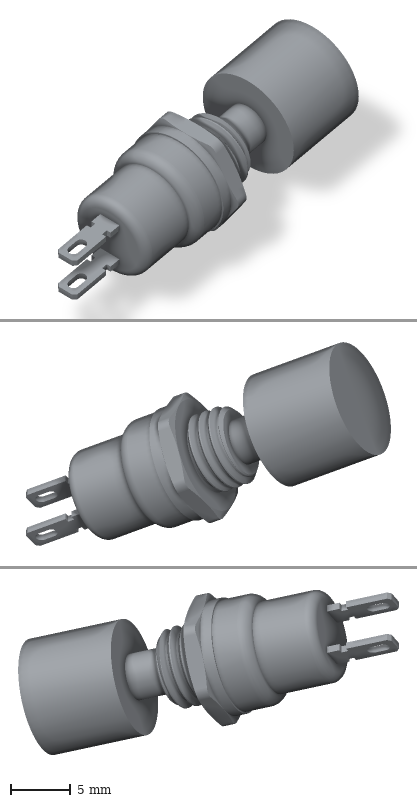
import cadquery as cq
import math


FLANGE_RADIUS = 5.0
FLANGE_THICKNESS = 1.0
CASE_RADIUS = 4.83
CASE_LENGTH = 3.4
CASE_ROUND = 1.1

BASE_RADIUS = 4.0
BASE_LENGTH = 5.5
BASE_ROUND = 0.8

THREAD_MAJOR_RADIUS = 3.5
THREAD_MINOR_RADIUS = 3.0
THREAD_PITCH = 1.0
THREAD_ROOT_WIDTH = 0.8
THREAD_CREST_WIDTH = 0.12
THREAD_OVERLAP = 0.15
THREAD_FACE_RADIUS = 2.9
THREAD_LENGTH = 3.5
THREAD_CREST_DEPTH = 1.27
THREAD_TURNS = 6

NUT_ACROSS_FLATS = 10.0
NUT_THICKNESS = 1.5
NUT_CORNER_RADIUS = 1.0
NUT_CHAMFER_ANGLE = 18.0
NUT_FACE_RADIUS = 4.95

PLUNGER_RADIUS = 2.0
PLUNGER_EXPOSED = 3.2
CAP_RADIUS = 5.0
CAP_LENGTH = 8.5

TERMINAL_LENGTH = 5.8
TERMINAL_WIDTH = 2.1
TERMINAL_THICKNESS = 0.6
TERMINAL_SPACING = 4.0
TERMINAL_TIP_CHAMFER = 0.3
NOTCH_OFFSET = 1.15
NOTCH_HEIGHT = 0.6
NOTCH_DEPTH = 0.42
EYELET_LENGTH = 2.0
EYELET_WIDTH = 1.0
EYELET_TIP_MARGIN = 0.55

FLANGE_BOTTOM = -FLANGE_THICKNESS
CASE_BOTTOM = FLANGE_BOTTOM - CASE_LENGTH
BASE_BOTTOM = CASE_BOTTOM - BASE_LENGTH
BUSHING_TOP = NUT_THICKNESS + THREAD_LENGTH
CAP_BOTTOM = BUSHING_TOP + PLUNGER_EXPOSED


def cylinder(radius, start, end):
    """Solid cylinder about the Y axis between two Y stations."""
    return cq.Workplane("XZ", origin=(0, start, 0)).circle(radius).extrude(start - end)


def revolve_about_y(outline):
    return outline.close().revolve(360, (0, 0, 0), (0, 1, 0))


def make_thread():
    """Right-handed external thread ridge between the nut and the chamfered bushing end."""
    root_radius = THREAD_MINOR_RADIUS - THREAD_OVERLAP
    flank_slope = (THREAD_ROOT_WIDTH - THREAD_CREST_WIDTH) / (THREAD_MAJOR_RADIUS - THREAD_MINOR_RADIUS)
    half_root = THREAD_ROOT_WIDTH / 2 + THREAD_OVERLAP * flank_slope / 2
    half_crest = THREAD_CREST_WIDTH / 2
    helix = cq.Wire.makeHelix(THREAD_PITCH, THREAD_TURNS * THREAD_PITCH, THREAD_MINOR_RADIUS)
    ridge = (
        cq.Workplane("XZ")
        .moveTo(root_radius, -half_root)
        .lineTo(THREAD_MAJOR_RADIUS, -half_crest)
        .lineTo(THREAD_MAJOR_RADIUS, half_crest)
        .lineTo(root_radius, half_root)
        .close()
        .sweep(cq.Workplane(obj=helix), isFrenet=True)
    )
    ridge = ridge.rotate((0, 0, 0), (0, 0, 1), -90).rotate((0, 0, 0), (1, 0, 0), -90)
    turns_below_crest = THREAD_TURNS - 2
    start = BUSHING_TOP - THREAD_CREST_DEPTH - turns_below_crest * THREAD_PITCH
    ridge = ridge.translate((0, start, 0))

    trim_radius = THREAD_MAJOR_RADIUS + THREAD_OVERLAP
    end_envelope = revolve_about_y(
        cq.Workplane("XY")
        .moveTo(0, NUT_THICKNESS)
        .lineTo(trim_radius, NUT_THICKNESS)
        .lineTo(trim_radius, BUSHING_TOP - (trim_radius - THREAD_FACE_RADIUS))
        .lineTo(THREAD_FACE_RADIUS, BUSHING_TOP)
        .lineTo(0, BUSHING_TOP)
    )
    return ridge.intersect(end_envelope)


def make_bushing(base, plunger):
    """Threaded bushing with its flange and the case that is rolled in around the base."""
    core = cylinder(THREAD_MINOR_RADIUS, 0, BUSHING_TOP)
    core = core.faces(">Y").chamfer(THREAD_MINOR_RADIUS - THREAD_FACE_RADIUS)
    flange = cylinder(FLANGE_RADIUS, FLANGE_BOTTOM, 0)
    case = cylinder(CASE_RADIUS, CASE_BOTTOM, FLANGE_BOTTOM).faces("<Y").edges().fillet(CASE_ROUND)
    return core.union(make_thread()).union(flange).union(case).cut(base).cut(plunger)


def make_base():
    """Cylindrical base that fills the case up to the flange."""
    return cylinder(BASE_RADIUS, BASE_BOTTOM, FLANGE_BOTTOM).faces("<Y").edges().fillet(BASE_ROUND)


def make_nut():
    """Hexagon nut with rounded corners, chamfered on both faces."""
    corner_radius = NUT_ACROSS_FLATS / 2 / math.cos(math.pi / 6)
    hexagon = (
        cq.Workplane("XZ")
        .polygon(6, 2 * corner_radius)
        .extrude(-NUT_THICKNESS)
        .edges("|Y")
        .fillet(NUT_CORNER_RADIUS)
    )
    chamfer_drop = (corner_radius - NUT_FACE_RADIUS) * math.tan(math.radians(NUT_CHAMFER_ANGLE))
    chamfer_envelope = revolve_about_y(
        cq.Workplane("XY")
        .lineTo(NUT_FACE_RADIUS, 0)
        .lineTo(corner_radius, chamfer_drop)
        .lineTo(corner_radius, NUT_THICKNESS - chamfer_drop)
        .lineTo(NUT_FACE_RADIUS, NUT_THICKNESS)
        .lineTo(0, NUT_THICKNESS)
    )
    bore = cylinder(THREAD_MINOR_RADIUS, 0, NUT_THICKNESS)
    return hexagon.intersect(chamfer_envelope).cut(bore)


def make_plunger():
    """Plunger running through the bushing from the base to the cap."""
    return cylinder(PLUNGER_RADIUS, FLANGE_BOTTOM, CAP_BOTTOM)


def make_cap():
    return cylinder(CAP_RADIUS, CAP_BOTTOM, CAP_BOTTOM + CAP_LENGTH)


def make_terminal(z):
    """Flat solder terminal on the end of the base, notched near its root and slotted near its tip."""
    tip = BASE_BOTTOM - TERMINAL_LENGTH
    blade = (
        cq.Workplane("XY")
        .box(TERMINAL_WIDTH, TERMINAL_LENGTH, TERMINAL_THICKNESS)
        .translate((0, BASE_BOTTOM - TERMINAL_LENGTH / 2, z))
        .edges("|Z and <Y")
        .chamfer(TERMINAL_TIP_CHAMFER)
    )
    notch_y = BASE_BOTTOM - NOTCH_OFFSET - NOTCH_HEIGHT / 2
    notches = (
        cq.Workplane("XY", origin=(0, notch_y, z))
        .pushPoints([(side * TERMINAL_WIDTH / 2, 0) for side in (-1, 1)])
        .rect(2 * NOTCH_DEPTH, NOTCH_HEIGHT)
        .extrude(TERMINAL_THICKNESS, both=True)
    )
    eyelet_y = tip + EYELET_TIP_MARGIN + EYELET_LENGTH / 2
    eyelet = (
        cq.Workplane("XY", origin=(0, eyelet_y, z))
        .slot2D(EYELET_LENGTH, EYELET_WIDTH, 90)
        .extrude(TERMINAL_THICKNESS, both=True)
    )
    return blade.cut(notches).cut(eyelet)


base = make_base()
plunger = make_plunger()
bushing = make_bushing(base, plunger)
nut = make_nut()
cap = make_cap()
terminals = [make_terminal(side * TERMINAL_SPACING / 2) for side in (-1, 1)]

result = cq.Compound.makeCompound(
    [bushing.val(), base.val(), nut.val(), plunger.val(), cap.val(), *[t.val() for t in terminals]]
)